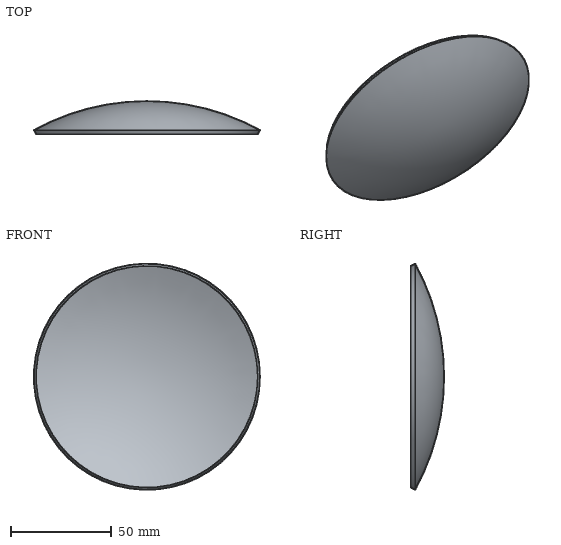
import cadquery as cq
import math

rim_diameter = 113.0
thickness = 2.5
outer_radius = 117.0

inner_radius = outer_radius - thickness
rim_angle = math.asin(rim_diameter / 2 / outer_radius)
total_depth = outer_radius - inner_radius * math.cos(rim_angle)

center_y = total_depth / 2 - outer_radius


def point_on_sphere(radius, angle):
    """Profile point (x, y) at an angle from the crown axis."""
    return (radius * math.sin(angle), center_y + radius * math.cos(angle))


def make_dish():
    """Revolve the half section of the shell around the Y axis."""
    half_section = (
        cq.Workplane("XY")
        .moveTo(*point_on_sphere(inner_radius, 0))
        .lineTo(*point_on_sphere(outer_radius, 0))
        .threePointArc(
            point_on_sphere(outer_radius, rim_angle / 2),
            point_on_sphere(outer_radius, rim_angle),
        )
        .lineTo(*point_on_sphere(inner_radius, rim_angle))
        .threePointArc(
            point_on_sphere(inner_radius, rim_angle / 2),
            point_on_sphere(inner_radius, 0),
        )
        .close()
    )
    return half_section.revolve(360, (0, 0, 0), (0, 1, 0))


result = make_dish()